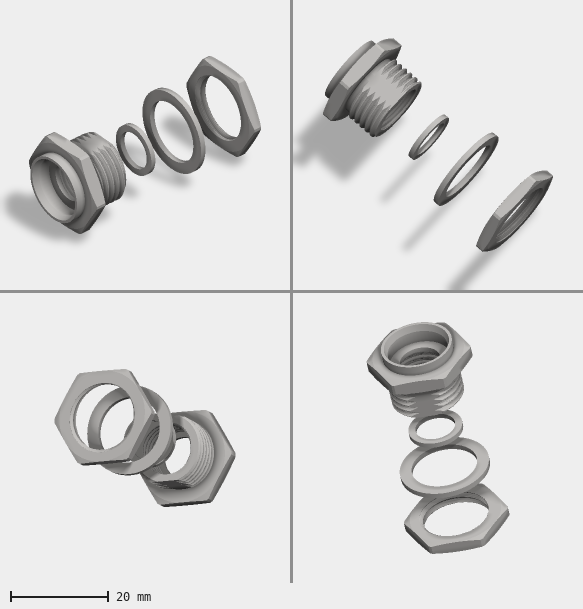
import cadquery as cq
import math


ACROSS_FLATS = 19.0
ACROSS_CORNERS = 21.6
HEX_CHAMFER_ANGLE = 15

OUTER_MAJOR = 15.18
OUTER_MINOR = 13.85
PITCH = 1.4
THREAD_ANGLE = 80
FLANK_STEPS = 4

COLLAR_DIAMETER = 14.8
COLLAR_LENGTH = 2.15
BODY_HEX_LENGTH = 2.95
RELIEF_DIAMETER = 13.6
RELIEF_LENGTH = 1.15
BODY_LENGTH = 13.5
END_CHAMFER = 0.37
ENVELOPE_MARGIN = 0.95
FLATS_DISTANCE = 13.5
MOUTH_DIAMETER = 13.6
FLOOR_DIAMETER = 12.5
MOUTH_LENGTH = 1.4
FLOOR_DEPTH = 4.08
LIP_DIAMETER = 8.4
LIP_LENGTH = 0.95
INNER_MAJOR = 11.2
INNER_MINOR = 10.5

SMALL_OUTER = 11.25
SMALL_INNER = 8.3
SMALL_THICKNESS = 1.1
SMALL_Y = 21.45
LARGE_OUTER = 18.6
LARGE_INNER = 13.7
LARGE_THICKNESS = 1.15
LARGE_Y = 31.65

NUT_LENGTH = 2.5
TOTAL_LENGTH = 46.85
NUT_Y = TOTAL_LENGTH - NUT_LENGTH

HEX_BEGIN = COLLAR_LENGTH
HEX_END = HEX_BEGIN + BODY_HEX_LENGTH
THREAD_BEGIN = HEX_END + RELIEF_LENGTH


def cylinder(diameter, begin, end):
    return cq.Workplane("XY").workplane(offset=begin).circle(diameter / 2).extrude(end - begin)


def along_y(body, y):
    return body.rotate((0, 0, 0), (1, 0, 0), -90).translate((0, y, 0))


def threaded_rod(major, minor, begin, end):
    """Right-hand threaded rod: the cross-section of the thread, twisted once per pitch."""
    root = minor / 2
    crest = major / 2
    flank_run = (crest - root) * math.tan(math.radians(THREAD_ANGLE / 2))
    flat = PITCH / 2 - flank_run
    root_end = flat / 2
    crest_end = root_end + flank_run + flat

    def rim_point(radius, rise):
        angle = 2 * math.pi * rise / PITCH
        return radius * math.cos(angle), radius * math.sin(angle)

    def flank(first_radius, last_radius, first_rise):
        steps = [step / FLANK_STEPS for step in range(1, FLANK_STEPS + 1)]
        return [
            rim_point(first_radius + (last_radius - first_radius) * step, first_rise + flank_run * step)
            for step in steps
        ]

    section = (
        cq.Workplane("XY")
        .workplane(offset=begin)
        .moveTo(*rim_point(root, root_end))
        .spline(flank(root, crest, root_end), includeCurrent=True)
        .threePointArc(rim_point(crest, PITCH / 2), rim_point(crest, crest_end))
        .spline(flank(crest, root, crest_end), includeCurrent=True)
        .threePointArc(rim_point(root, 0), rim_point(root, root_end))
        .close()
    )
    return section.twistExtrude(end - begin, 360 * (end - begin) / PITCH)


def hexagon(begin, end):
    """Hexagonal prism with turned corners and a shallow cone at both faces."""
    length = end - begin
    corner = ACROSS_CORNERS / 2
    face = ACROSS_FLATS / 2
    drop = (corner - face) * math.tan(math.radians(HEX_CHAMFER_ANGLE))
    prism = (
        cq.Workplane("XY")
        .workplane(offset=begin)
        .polygon(6, ACROSS_FLATS / math.cos(math.pi / 6))
        .extrude(length)
    )
    turned = (
        cq.Workplane("XZ")
        .polyline([
            (0, begin),
            (face, begin),
            (corner, begin + drop),
            (corner, end - drop),
            (face, end),
            (0, end),
        ])
        .close()
        .revolve(360, (0, 0), (0, 1))
    )
    return prism.intersect(turned)


def gland_body():
    thread = threaded_rod(OUTER_MAJOR, OUTER_MINOR, THREAD_BEGIN, BODY_LENGTH)
    relief = cylinder(RELIEF_DIAMETER, HEX_END, THREAD_BEGIN)
    flats = (
        cq.Workplane("XY")
        .workplane(offset=HEX_END)
        .rect(2 * OUTER_MAJOR, FLATS_DISTANCE)
        .extrude(BODY_LENGTH - HEX_END)
    )
    envelope = (
        cylinder(OUTER_MAJOR + 2 * ENVELOPE_MARGIN, HEX_END, BODY_LENGTH)
        .faces(">Z")
        .chamfer(END_CHAMFER + ENVELOPE_MARGIN)
        .intersect(flats)
    )
    stem = thread.union(relief).intersect(envelope)
    body = cylinder(COLLAR_DIAMETER, 0, HEX_BEGIN).union(hexagon(HEX_BEGIN, HEX_END)).union(stem)
    mouth = (
        cq.Workplane("XZ")
        .polyline([
            (0, 0),
            (MOUTH_DIAMETER / 2, 0),
            (FLOOR_DIAMETER / 2, MOUTH_LENGTH),
            (FLOOR_DIAMETER / 2, FLOOR_DEPTH),
            (0, FLOOR_DEPTH),
        ])
        .close()
        .revolve(360, (0, 0), (0, 1))
    )
    lip_end = FLOOR_DEPTH + LIP_LENGTH
    body = body.cut(mouth).cut(cylinder(LIP_DIAMETER, 0, lip_end))
    return body.cut(threaded_rod(INNER_MAJOR, INNER_MINOR, lip_end, BODY_LENGTH))


def washer(outer, inner, thickness):
    return cylinder(outer, 0, thickness).cut(cylinder(inner, 0, thickness))


def lock_nut():
    return hexagon(0, NUT_LENGTH).cut(threaded_rod(OUTER_MAJOR, OUTER_MINOR, 0, NUT_LENGTH))


body = along_y(gland_body(), 0)
small_washer = along_y(washer(SMALL_OUTER, SMALL_INNER, SMALL_THICKNESS), SMALL_Y)
large_washer = along_y(washer(LARGE_OUTER, LARGE_INNER, LARGE_THICKNESS), LARGE_Y)
nut = along_y(lock_nut(), NUT_Y)

result = cq.Compound.makeCompound([body.val(), small_washer.val(), large_washer.val(), nut.val()])